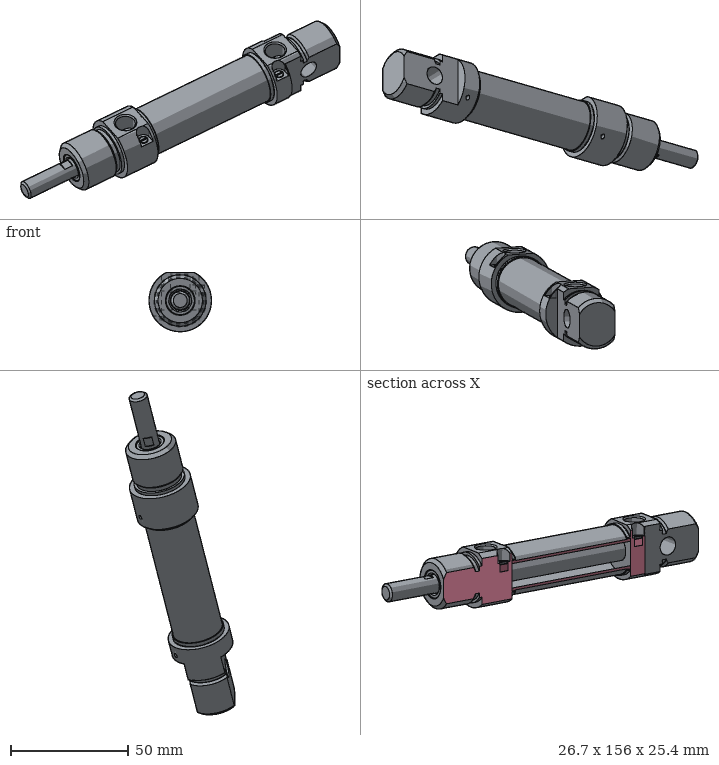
import cadquery as cq
import math

OVERALL_LENGTH = 156.0

FLANGE_DIAMETER = 26.7
FLANGE_LENGTH = 15.6
PORT_FLAT_HEIGHT = 12.0
FRONT_FLANGE_Y = 43.8
REAR_FLANGE_Y = 120.5

NOSE_DIAMETER = 22.0
RELIEF_DIAMETER = 19.7
SHOULDER_LENGTH = 1.4
RELIEF_LENGTH = 1.9
RELIEF_CHAMFER = 1.0
NOSE_CHAMFER = 1.5
NOSE_FACE_Y = 24.0

TONGUE_WIDTH = 16.0
TONGUE_LENGTH = 28.0
PIVOT_DIAMETER = 8.0
PIVOT_Y = 140.1

TUBE_OUTER_DIAMETER = 21.5
TUBE_INNER_DIAMETER = 20.0
LIP_DIAMETER = 22.5
LIP_LENGTH = 1.9

ROD_DIAMETER = 8.0
ROD_TIP_DIAMETER = 6.0
ROD_TIP_CHAMFER_LENGTH = 0.8
ROD_CORE_DIAMETER = 10.0
ROD_CORE_OVERRUN = 5.1
WRENCH_FLAT_WIDTH = 7.0
WRENCH_FLAT_START_Y = 19.3
WRENCH_FLAT_END_Y = 23.4

SCRAPER_DIAMETER = 12.0
SCRAPER_DEPTH = 3.1
SCRAPER_SETBACK = 0.3
SCRAPER_BORE_DIAMETER = 8.5
SCRAPER_MOUTH_DIAMETER = 9.7
SEAT_CHAMFER = 0.3

PORT_DIAMETER = 8.5
PORT_CHAMFER = 0.6
SCREW_OFFSET_Y = 3.6
SCREW_X = 8.5
SCREW_DIAMETER = 3.9
SCREW_LENGTH = 3.9
SCREW_CHAMFER = 0.23
SLOT_WIDTH = 0.6
SLOT_DEPTH = 0.8
POCKET_DIAMETER = 6.0
POCKET_FLOOR_Z = 6.7
BLEED_OFFSET_Y = 3.3
BLEED_DIAMETER = 1.7
BLEED_Z = -7.5
BLEED_DEPTH = 2.3

FLANGE_RADIUS = FLANGE_DIAMETER / 2
FRONT_FLANGE_END_Y = FRONT_FLANGE_Y + FLANGE_LENGTH
REAR_FLANGE_END_Y = REAR_FLANGE_Y + FLANGE_LENGTH
FRONT_PORT_Y = FRONT_FLANGE_Y + FLANGE_LENGTH / 2
REAR_PORT_Y = REAR_FLANGE_Y + FLANGE_LENGTH / 2
FRONT_SCREW_Y = FRONT_PORT_Y + SCREW_OFFSET_Y
REAR_SCREW_Y = REAR_PORT_Y - SCREW_OFFSET_Y
FRONT_BLEED_Y = FRONT_PORT_Y + BLEED_OFFSET_Y
REAR_BLEED_Y = REAR_PORT_Y - BLEED_OFFSET_Y
CORE_START_Y = FRONT_PORT_Y - ROD_CORE_OVERRUN
CORE_END_Y = REAR_PORT_Y + ROD_CORE_OVERRUN


def cylinder_y(diameter, start, end):
    """Cylinder on the main axis between two Y positions."""
    return cq.Workplane("XZ", origin=(0, start, 0)).circle(diameter / 2).extrude(start - end)


def cone_y(start_diameter, end_diameter, start, end):
    """Truncated cone on the main axis between two Y positions."""
    profile = [(0, start), (start_diameter / 2, start), (end_diameter / 2, end), (0, end)]
    return cq.Workplane("XY").polyline(profile).close().revolve(360, (0, 0, 0), (0, 1, 0))


def box_between(low, high):
    """Axis-aligned box between two opposite corners."""
    size = [b - a for a, b in zip(low, high)]
    return cq.Workplane("XY").box(*size, centered=False).translate(low)


def nose(flange_face, end_face):
    """Shoulder, relief groove and chamfered nose, revolved from a flange face to the nose face."""
    direction = math.copysign(1, end_face - flange_face)
    nose_radius = NOSE_DIAMETER / 2
    relief_radius = RELIEF_DIAMETER / 2
    relief_start = flange_face + direction * SHOULDER_LENGTH
    relief_end = relief_start + direction * RELIEF_LENGTH
    relief_top = relief_end + direction * RELIEF_CHAMFER
    profile = [
        (0, flange_face),
        (nose_radius, flange_face),
        (nose_radius, relief_start),
        (relief_radius, relief_start),
        (relief_radius, relief_end),
        (nose_radius - RELIEF_CHAMFER, relief_end),
        (nose_radius, relief_top),
        (nose_radius, end_face - direction * NOSE_CHAMFER),
        (nose_radius - NOSE_CHAMFER, end_face),
        (0, end_face),
    ]
    return cq.Workplane("XY").polyline(profile).close().revolve(360, (0, 0, 0), (0, 1, 0))


def flange(start):
    """Round flange with the port face milled on its top."""
    end = start + FLANGE_LENGTH
    above_face = box_between(
        (-FLANGE_RADIUS, start, PORT_FLAT_HEIGHT),
        (FLANGE_RADIUS, end, FLANGE_RADIUS),
    )
    return cylinder_y(FLANGE_DIAMETER, start, end).cut(above_face)


def port(port_y):
    """Air port from the top face down to the rod core, with a chamfered mouth."""
    radius = PORT_DIAMETER / 2
    profile = [
        (0, 0),
        (radius, 0),
        (radius, PORT_FLAT_HEIGHT - PORT_CHAMFER),
        (radius + PORT_CHAMFER, PORT_FLAT_HEIGHT),
        (0, PORT_FLAT_HEIGHT),
    ]
    hole = cq.Workplane("XZ").polyline(profile).close().revolve(360, (0, 0, 0), (0, 1, 0))
    return hole.translate((0, port_y, 0))


def screw_recess(screw_y):
    """Pocket that opens toward +X, with the screw hole in its floor."""
    floor = cq.Workplane("XY", origin=(SCREW_X, screw_y, POCKET_FLOOR_Z))
    round_end = floor.circle(POCKET_DIAMETER / 2).extrude(FLANGE_RADIUS)
    open_side = box_between(
        (SCREW_X, screw_y - POCKET_DIAMETER / 2, POCKET_FLOOR_Z),
        (FLANGE_RADIUS, screw_y + POCKET_DIAMETER / 2, FLANGE_RADIUS),
    )
    screw_hole = floor.circle(SCREW_DIAMETER / 2).extrude(-SCREW_LENGTH)
    return round_end.union(open_side).union(screw_hole)


def bleed_hole(hole_y):
    """Small blind hole drilled along X into the -X side of a flange."""
    surface_x = math.sqrt(FLANGE_RADIUS ** 2 - BLEED_Z ** 2)
    drill = cq.Workplane("YZ", origin=(-FLANGE_RADIUS, hole_y, BLEED_Z))
    return drill.circle(BLEED_DIAMETER / 2).extrude(FLANGE_RADIUS - surface_x + BLEED_DEPTH)


def add_flange_holes(cover, port_y, screw_y, bleed_y):
    """Cut the port, the screw recess and the bleed hole of one flange."""
    return cover.cut(port(port_y)).cut(screw_recess(screw_y)).cut(bleed_hole(bleed_y))


def make_front_cover():
    seat_end = NOSE_FACE_Y + SCRAPER_DEPTH
    lip_end = FRONT_FLANGE_END_Y + LIP_LENGTH
    cover = flange(FRONT_FLANGE_Y).union(nose(FRONT_FLANGE_Y, NOSE_FACE_Y))
    cover = cover.union(cylinder_y(LIP_DIAMETER, FRONT_FLANGE_END_Y, lip_end))
    cover = cover.cut(cylinder_y(TUBE_OUTER_DIAMETER, FRONT_FLANGE_END_Y, lip_end))
    cover = cover.cut(cylinder_y(ROD_DIAMETER, NOSE_FACE_Y, CORE_START_Y))
    cover = cover.cut(cylinder_y(ROD_CORE_DIAMETER, CORE_START_Y, lip_end))
    cover = cover.cut(cylinder_y(SCRAPER_DIAMETER, NOSE_FACE_Y, seat_end))
    seat_mouth = cone_y(
        SCRAPER_DIAMETER + 2 * SEAT_CHAMFER, SCRAPER_DIAMETER, NOSE_FACE_Y, NOSE_FACE_Y + SEAT_CHAMFER
    )
    cover = cover.cut(seat_mouth)
    return add_flange_holes(cover, FRONT_PORT_Y, FRONT_SCREW_Y, FRONT_BLEED_Y)


def make_rear_cover():
    lip_start = REAR_FLANGE_Y - LIP_LENGTH
    cover = flange(REAR_FLANGE_Y).union(nose(REAR_FLANGE_END_Y, OVERALL_LENGTH))
    for side in (-1, 1):
        inner_x = side * TONGUE_WIDTH / 2
        outer_x = side * FLANGE_RADIUS
        beside_tongue = box_between(
            (min(inner_x, outer_x), OVERALL_LENGTH - TONGUE_LENGTH, -FLANGE_RADIUS),
            (max(inner_x, outer_x), OVERALL_LENGTH, FLANGE_RADIUS),
        )
        cover = cover.cut(beside_tongue)
    pivot = cq.Workplane("YZ").center(PIVOT_Y, 0).circle(PIVOT_DIAMETER / 2)
    cover = cover.cut(pivot.extrude(TONGUE_WIDTH / 2, both=True))
    cover = cover.union(cylinder_y(LIP_DIAMETER, lip_start, REAR_FLANGE_Y))
    cover = cover.cut(cylinder_y(TUBE_OUTER_DIAMETER, lip_start, REAR_FLANGE_Y))
    cover = cover.cut(cylinder_y(ROD_CORE_DIAMETER, lip_start, CORE_END_Y))
    return add_flange_holes(cover, REAR_PORT_Y, REAR_SCREW_Y, REAR_BLEED_Y)


def make_tube():
    outer = cylinder_y(TUBE_OUTER_DIAMETER, FRONT_FLANGE_END_Y, REAR_FLANGE_Y)
    return outer.cut(cylinder_y(TUBE_INNER_DIAMETER, FRONT_FLANGE_END_Y, REAR_FLANGE_Y))


def make_rod():
    rod = cone_y(ROD_TIP_DIAMETER, ROD_DIAMETER, 0, ROD_TIP_CHAMFER_LENGTH)
    rod = rod.union(cylinder_y(ROD_DIAMETER, ROD_TIP_CHAMFER_LENGTH, CORE_START_Y))
    rod = rod.union(cylinder_y(ROD_CORE_DIAMETER, CORE_START_Y, CORE_END_Y))
    radius = ROD_DIAMETER / 2
    for low_z, high_z in ((WRENCH_FLAT_WIDTH / 2, radius), (-radius, -WRENCH_FLAT_WIDTH / 2)):
        beyond_flat = box_between(
            (-radius, WRENCH_FLAT_START_Y, low_z),
            (radius, WRENCH_FLAT_END_Y, high_z),
        )
        rod = rod.cut(beyond_flat)
    return rod


def make_scraper():
    start = NOSE_FACE_Y + SCRAPER_SETBACK
    end = NOSE_FACE_Y + SCRAPER_DEPTH
    mouth_end = start + (SCRAPER_MOUTH_DIAMETER - SCRAPER_BORE_DIAMETER) / 2
    ring = cylinder_y(SCRAPER_DIAMETER, start, end).cut(cylinder_y(SCRAPER_BORE_DIAMETER, start, end))
    return ring.cut(cone_y(SCRAPER_MOUTH_DIAMETER, SCRAPER_BORE_DIAMETER, start, mouth_end))


def make_cushion_screw(screw_y):
    """Slotted screw whose head is flush with its pocket floor."""
    top = cq.Workplane("XY", origin=(SCREW_X, screw_y, POCKET_FLOOR_Z))
    screw = top.circle(SCREW_DIAMETER / 2).extrude(-SCREW_LENGTH).faces(">Z").chamfer(SCREW_CHAMFER)
    slot = top.rect(SLOT_WIDTH, SCREW_DIAMETER).extrude(-SLOT_DEPTH)
    return screw.cut(slot)


front_cover = make_front_cover()
rear_cover = make_rear_cover()
tube = make_tube()
rod = make_rod()
scraper = make_scraper()
cushion_screws = [make_cushion_screw(screw_y) for screw_y in (FRONT_SCREW_Y, REAR_SCREW_Y)]

result = cq.Compound.makeCompound([
    front_cover.val(),
    rear_cover.val(),
    tube.val(),
    rod.val(),
    scraper.val(),
    *[screw.val() for screw in cushion_screws],
])